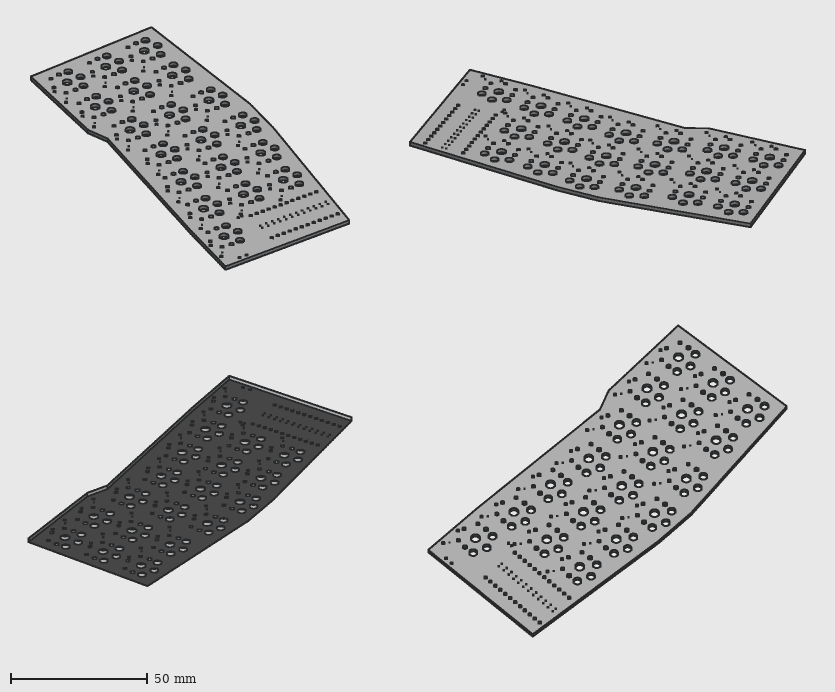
import cadquery as cq
import math

thickness = 1.6
outline = [
    (-68.3, 23.2),
    (-10.4, 30),
    (6.5, 29.9),
    (68.3, 24.7),
    (68.1, -28.5),
    (42.6, -28.1),
    (-19.8, -25.4),
    (-28.0, -28.8),
    (-66.2, -30),
]

stem_diameter = 3.4
socket_diameter = 3.0
guide_diameter = 1.6
pin_diameter = 1.27
diode_diameter = 1.0
via_diameter = 0.3
controller_pin_diameter = 1.1
controller_via_diameter = 0.4
terminal_diameter = 0.9
switch_pad_diameter = 0.7

contact_x = 5.0
contact_y = 3.8
end_contact_y = 5.9
guide_x = 5.5
diode_x = 2.2
diode_y = -7.0
diode_span = 7.6
via_x = 8.0
via_y = -5.5

column_span = 34.0
key_pitch = column_span / 2

columns = [
    (-56.9, -3.4, 2),
    (-39.0, -2.3, 2),
    (-19.9, 1.4, 0),
    (-1.2, 3.4, -1),
    (16.7, 1.1, -1),
    (34.7, -0.3, -1),
]
thumb_key = (52.4, -19.5, -1)

controller = (54.9, 9.1, -1)
controller_rows = 12
controller_length = 28.0
controller_width = 15.3
controller_via_gap = 1.5

terminal_holes = [(66.3, -18.3), (66.2, -21.3)]
switch_pads = [(45.6, -7.6), (45.6, -9.3)]


def to_plate(frame, points):
    """Turn points by the tilt of a (x, y, tilt) frame and move them to its origin."""
    x, y, tilt = frame
    cos = math.cos(math.radians(tilt))
    sin = math.sin(math.radians(tilt))
    return [(x + u * cos - v * sin, y + u * sin + v * cos) for u, v in points]


def both_sides(x, y):
    """A point and its mirror image across the local Y axis."""
    return [(-x, y), (x, y)]


def key_holes(frame):
    """Hole groups of one key switch, as (centres, diameter) pairs."""
    sockets = both_sides(contact_x, contact_y) + [(0, end_contact_y)]
    pins = [(-x, -y) for x, y in sockets]
    diode = [(diode_x, diode_y), (diode_x + diode_span, diode_y)]
    groups = [
        ([(0, 0)], stem_diameter),
        (sockets, socket_diameter),
        (both_sides(guide_x, 0), guide_diameter),
        (pins, pin_diameter),
        (diode, diode_diameter),
        ([(via_x, via_y)], via_diameter),
    ]
    return [(to_plate(frame, points), diameter) for points, diameter in groups]


def controller_holes():
    """Two outer lines of pin holes with two lines of vias between them."""
    pitch = controller_length / (controller_rows - 1)
    pins = []
    vias = []
    for row in range(controller_rows):
        y = row * pitch - controller_length / 2
        pins += both_sides(controller_width / 2, y)
        vias += both_sides(controller_via_gap / 2, y)
    return [
        (to_plate(controller, pins), controller_pin_diameter),
        (to_plate(controller, vias), controller_via_diameter),
    ]


def key_frames():
    """Frames of all keys: three per column, plus the thumb key."""
    frames = [thumb_key]
    for column in columns:
        tilt = column[2]
        centers = to_plate(column, [(0, -key_pitch), (0, 0), (0, key_pitch)])
        frames += [(x, y, tilt) for x, y in centers]
    return frames


hole_groups = controller_holes()
hole_groups += [(terminal_holes, terminal_diameter), (switch_pads, switch_pad_diameter)]
for frame in key_frames():
    hole_groups += key_holes(frame)

profile = cq.Workplane("XY").polyline(outline).close()
for centers, diameter in hole_groups:
    profile = profile.pushPoints(centers).circle(diameter / 2)
result = profile.extrude(thickness)